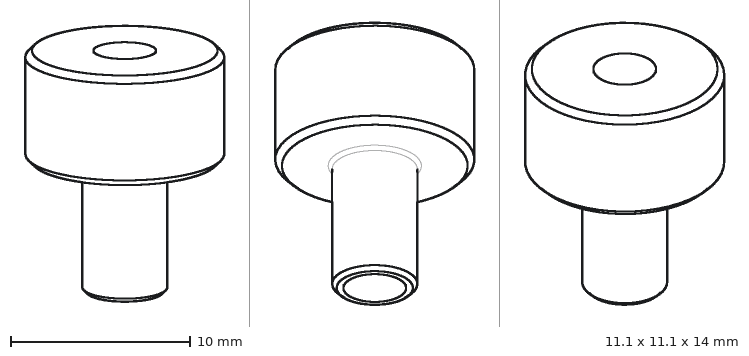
import cadquery as cq

total_height = 13.97
head_diameter = 11.13
head_height = 6.35
shank_diameter = 4.76
bore_diameter = 3.5

head_chamfer = 0.38
tip_chamfer = 0.25
neck_fillet = 0.22

shank_length = total_height - head_height

head = (
    cq.Workplane("XY")
    .circle(head_diameter / 2)
    .extrude(head_height)
    .edges()
    .chamfer(head_chamfer)
)

shank = (
    cq.Workplane("XY")
    .circle(shank_diameter / 2)
    .extrude(-shank_length)
    .faces("<Z")
    .edges()
    .chamfer(tip_chamfer)
)

neck_center = (0, 0, 0)
body = (
    head.union(shank)
    .edges(cq.selectors.NearestToPointSelector(neck_center))
    .fillet(neck_fillet)
)

result = body.faces(">Z").workplane().circle(bore_diameter / 2).cutThruAll()